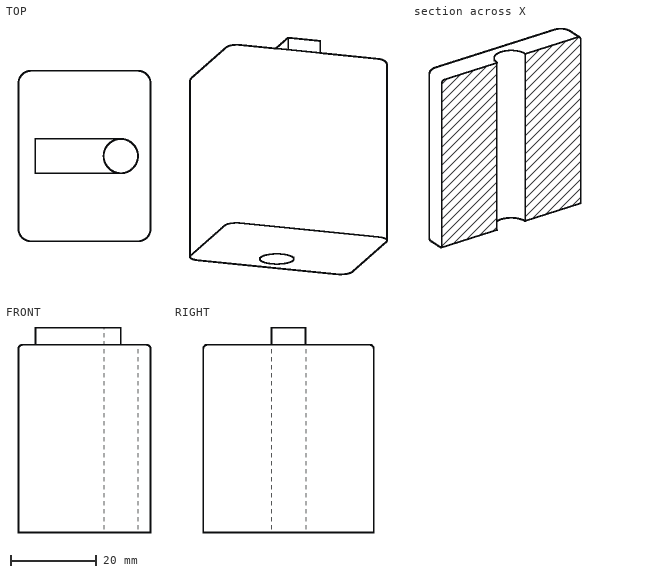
import cadquery as cq

body_length = 31.0
body_width = 40.0
body_height = 44.0
corner_radius = 3.0
top_edge_radius = 1.0

bar_length = 20.0
bar_width = 8.0
bar_height = 4.0
bar_end_margin = 4.0
bar_start_x = -body_length / 2 + bar_end_margin
bar_end_x = bar_start_x + bar_length

hole_diameter = bar_width
hole_x = bar_end_x


def make_body():
    """Block with rounded vertical corners and a rounded top rim."""
    block = cq.Workplane("XY").box(body_length, body_width, body_height, centered=(True, True, False))
    rounded = block.edges("|Z").fillet(corner_radius)
    return rounded.faces(">Z").edges().fillet(top_edge_radius)


def make_bar():
    """Rectangular bar standing on the top face."""
    bar = cq.Workplane("XY").box(bar_length, bar_width, bar_height, centered=(False, True, False))
    return bar.translate((bar_start_x, 0, body_height))


def make_hole():
    """Cylinder that cuts through the body and hollows the end of the bar."""
    hole = cq.Workplane("XY").center(hole_x, 0).circle(hole_diameter / 2)
    return hole.extrude(body_height + bar_height)


result = make_body().union(make_bar()).cut(make_hole())